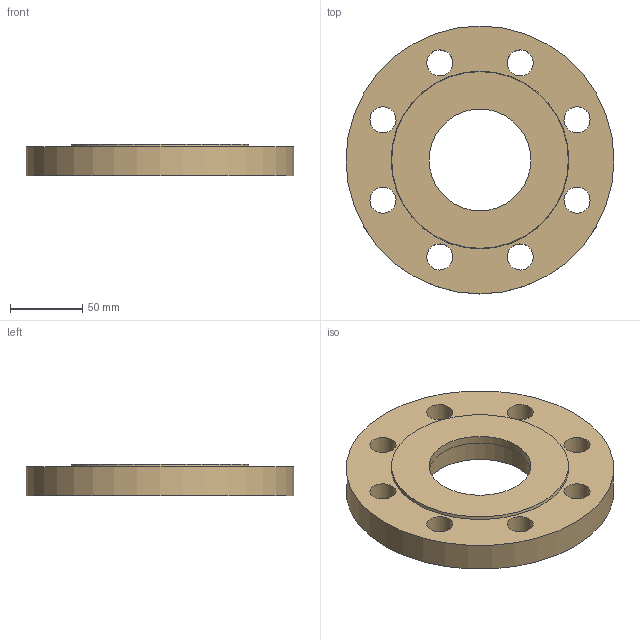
import cadquery as cq
import math

flange_diameter = 185.0
total_thickness = 22.0

raised_face_top_diameter = 122.0
raised_face_height = 2.0
rim_taper_angle = 10.0
rim_run = raised_face_height * math.tan(math.radians(rim_taper_angle))
raised_face_base_diameter = raised_face_top_diameter + 2 * rim_run
disc_thickness = total_thickness - raised_face_height

bore_diameter = 70.3
lip_height = 5.5
socket_diameter = 77.5
socket_depth = total_thickness - lip_height

bolt_hole_count = 8
bolt_hole_diameter = 18.0
bolt_circle_diameter = 145.0
bolt_pitch_angle = 360.0 / bolt_hole_count


def flange_blank():
    """Disc on the XY plane with the raised sealing face on top, turned about Z."""
    profile = [
        (0, 0),
        (flange_diameter / 2, 0),
        (flange_diameter / 2, disc_thickness),
        (raised_face_base_diameter / 2, disc_thickness),
        (raised_face_top_diameter / 2, total_thickness),
        (0, total_thickness),
    ]
    return cq.Workplane("XZ").polyline(profile).close().revolve(360, (0, 0), (0, 1))


def bore():
    """Central through bore with the pipe socket opening at the bottom."""
    through_bore = cq.Workplane("XY").circle(bore_diameter / 2).extrude(total_thickness)
    socket = cq.Workplane("XY").circle(socket_diameter / 2).extrude(socket_depth)
    return through_bore.union(socket)


def bolt_holes():
    """Ring of through holes, offset half a pitch from the X axis."""
    return (
        cq.Workplane("XY")
        .polarArray(bolt_circle_diameter / 2, bolt_pitch_angle / 2, 360, bolt_hole_count)
        .circle(bolt_hole_diameter / 2)
        .extrude(disc_thickness)
    )


result = flange_blank().cut(bore()).cut(bolt_holes())